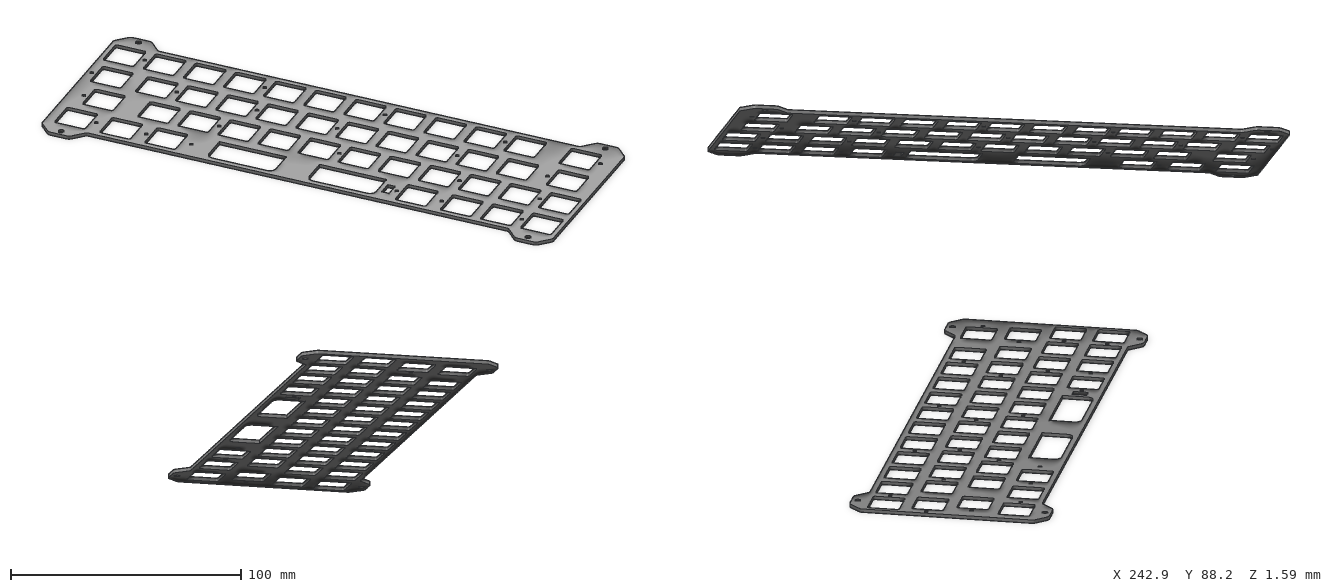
import cadquery as cq

KEY_UNIT = 19.05
UNITS_WIDE = 12.75
ROW_COUNT = 4
THICKNESS = 1.59
OVERALL_DEPTH = 88.2

SWITCH_WIDTH = 14.6
SWITCH_HEIGHT = 14.0
SWITCH_CORNER_RADIUS = 1.0

SPACE_CUT_WIDTH = 31.8
SPACE_CUT_RADIUS = 3.0

SLOT_WIDTH = 3.5
SLOT_HEIGHT = 6.5
SLOT_POSITION = 8.42

STANDOFF_DIAMETER = 1.6
EAR_HOLE_DIAMETER = 2.5
EAR_HOLE_INSET = 2.75

EAR_AXIS_INSET = 10.5
EAR_TOP_WIDTH = 10.0
EAR_FOOT_WIDTH = 21.4
EAR_CORNER_RADIUS = 3.0
EAR_SHOULDER_RADIUS = 1.5
EAR_FOOT_RADIUS = 1.5

SWITCH_ROWS = [
    [0.5 + i for i in range(11)] + [11.875],
    [0.625] + [1.75 + i for i in range(10)] + [12.0],
    [0.875] + [2.25 + i for i in range(11)],
    [0.625, 1.75, 2.875, 9.125, 10.25, 11.25, 12.25],
]
STANDOFF_ROWS = [
    [1.0, 4.0, 7.0, 10.0, 12.375],
    [0.125, 2.25, 4.25, 6.25, 9.25, 11.5],
    [0.375, 3.75, 6.75, 9.75, 11.75],
    [1.125, 2.375, 3.5, 8.625, 9.75, 11.75],
]
SPACE_POSITIONS = [4.875, 7.375]
BOTTOM_ROW = ROW_COUNT - 1

HALF_WIDTH = UNITS_WIDE * KEY_UNIT / 2
HALF_FIELD = ROW_COUNT * KEY_UNIT / 2
HALF_DEPTH = OVERALL_DEPTH / 2
EAR_AXIS = HALF_WIDTH - EAR_AXIS_INSET
EAR_RISE = HALF_DEPTH - HALF_FIELD


def key_point(position, row):
    """Plate coordinates of a place given in key units and row index."""
    x = position * KEY_UNIT - HALF_WIDTH
    y = HALF_FIELD - (row + 0.5) * KEY_UNIT
    return (x, y)


def key_points(rows):
    return [key_point(position, row) for row, line in enumerate(rows) for position in line]


def cut_centres(points):
    """Workplane on the underside carrying the centres of through cuts."""
    return cq.Workplane("XY").pushPoints(points)


def corner_edge(x, y):
    """Selector for the upright edge at a corner of the outline."""
    return cq.selectors.NearestToPointSelector((x, y, THICKNESS / 2))


def make_quarter():
    """Upper right quarter of the plate blank, with its mounting ear."""
    foot = EAR_AXIS - EAR_FOOT_WIDTH / 2
    top_inner = EAR_AXIS - EAR_TOP_WIDTH / 2
    top_outer = EAR_AXIS + EAR_TOP_WIDTH / 2
    slope = EAR_RISE / (top_inner - foot)
    shoulder = HALF_DEPTH - slope * (HALF_WIDTH - top_outer)
    quarter = (
        cq.Workplane("XY")
        .lineTo(0, HALF_FIELD)
        .lineTo(foot, HALF_FIELD)
        .lineTo(top_inner, HALF_DEPTH)
        .lineTo(top_outer, HALF_DEPTH)
        .lineTo(HALF_WIDTH, shoulder)
        .lineTo(HALF_WIDTH, 0)
        .close()
        .extrude(THICKNESS)
    )
    rounded_corners = [
        (foot, HALF_FIELD, EAR_FOOT_RADIUS),
        (top_inner, HALF_DEPTH, EAR_CORNER_RADIUS),
        (top_outer, HALF_DEPTH, EAR_CORNER_RADIUS),
        (HALF_WIDTH, shoulder, EAR_SHOULDER_RADIUS),
    ]
    for x, y, radius in rounded_corners:
        quarter = quarter.edges("|Z").edges(corner_edge(x, y)).fillet(radius)
    return quarter


def make_plate():
    quarter = make_quarter()
    right_half = quarter.union(quarter.mirror("XZ"))
    return right_half.union(right_half.mirror("YZ")).clean()


def switch_cutouts():
    cutouts = cut_centres(key_points(SWITCH_ROWS)).rect(SWITCH_WIDTH, SWITCH_HEIGHT).extrude(THICKNESS)
    return cutouts.edges("|Z").fillet(SWITCH_CORNER_RADIUS)


def space_cutouts():
    points = [key_point(position, BOTTOM_ROW) for position in SPACE_POSITIONS]
    cutouts = cut_centres(points).rect(SPACE_CUT_WIDTH, SWITCH_HEIGHT).extrude(THICKNESS)
    return cutouts.faces("<Y").edges("|Z").fillet(SPACE_CUT_RADIUS)


def slot_cutout():
    points = [key_point(SLOT_POSITION, BOTTOM_ROW)]
    return cut_centres(points).rect(SLOT_WIDTH, SLOT_HEIGHT).extrude(THICKNESS)


def standoff_holes():
    return cut_centres(key_points(STANDOFF_ROWS)).circle(STANDOFF_DIAMETER / 2).extrude(THICKNESS)


def ear_holes():
    y = HALF_DEPTH - EAR_HOLE_INSET
    points = [(side * EAR_AXIS, end * y) for side in (-1, 1) for end in (-1, 1)]
    return cut_centres(points).circle(EAR_HOLE_DIAMETER / 2).extrude(THICKNESS)


plate = make_plate()
for cutter in (switch_cutouts(), space_cutouts(), slot_cutout(), standoff_holes(), ear_holes()):
    plate = plate.cut(cutter)

result = cq.Workplane(plate.solids().val())